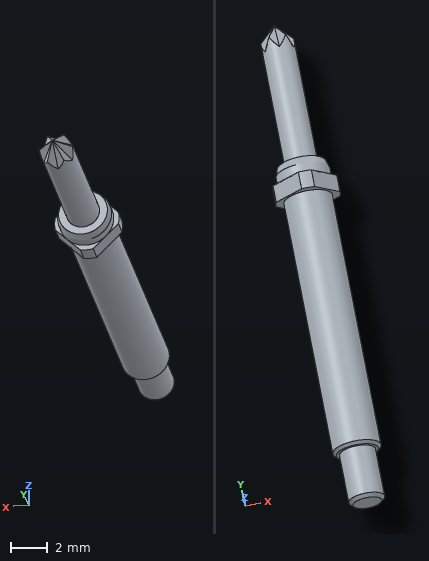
import cadquery as cq
import math

total_length = 28.3
tail_length = 3.0
body_length = 15.0
flange_thickness = 1.0
collar_length = 1.02
collar_taper_length = 0.45

tail_diameter = 2.0
body_diameter = 2.7
collar_diameter = 3.0
collar_end_diameter = 2.72
rod_diameter = 1.85

flange_diameter = 3.6
flange_across_flats = 3.0

tail_chamfer = 0.2
body_chamfer = 0.17

point_count = 6
ridge_half_angle = math.radians(45)
valley_half_angle = math.radians(30)

body_end = tail_length + body_length
flange_end = body_end + flange_thickness
collar_end = flange_end + collar_length
collar_taper_start = collar_end - collar_taper_length


def make_turned_pin():
    """Tail, body, collar and rod revolved about the Y axis, with a blunt rod end."""
    tail_radius = tail_diameter / 2
    body_radius = body_diameter / 2
    collar_radius = collar_diameter / 2
    collar_end_radius = collar_end_diameter / 2
    rod_radius = rod_diameter / 2
    profile = [
        (0, 0),
        (tail_radius - tail_chamfer, 0),
        (tail_radius, tail_chamfer),
        (tail_radius, tail_length),
        (body_radius - body_chamfer, tail_length),
        (body_radius, tail_length + body_chamfer),
        (body_radius, body_end),
        (collar_radius, body_end),
        (collar_radius, collar_taper_start),
        (collar_end_radius, collar_end),
        (rod_radius, collar_end),
        (rod_radius, total_length),
        (0, total_length),
    ]
    return cq.Workplane("XY").polyline(profile).close().revolve(360, (0, 0), (0, 1))


def make_flange():
    """Square plate turned by 45 degrees with rounded corners."""
    plane = cq.Plane(origin=(0, body_end, 0), xDir=(1, 0, 0), normal=(0, 1, 0))
    disc = cq.Workplane(plane).circle(flange_diameter / 2).extrude(flange_thickness)
    square = (
        cq.Workplane(plane)
        .transformed(rotate=(0, 0, 45))
        .rect(flange_across_flats, flange_across_flats)
        .extrude(flange_thickness)
    )
    return disc.intersect(square)


def make_star_point():
    """Pyramid on a star base: flat facets run from the apex between ridges and valleys."""
    height = total_length - collar_end
    apex = cq.Vector(0, total_length, 0)
    corner_count = 2 * point_count
    base = []
    for index in range(corner_count):
        half_angle = ridge_half_angle if index % 2 == 0 else valley_half_angle
        radius = height * math.tan(half_angle)
        angle = 2 * math.pi * index / corner_count
        base.append(cq.Vector(radius * math.cos(angle), collar_end, radius * math.sin(angle)))
    faces = [cq.Face.makeFromWires(cq.Wire.makePolygon(base, close=True))]
    for index in range(corner_count):
        facet = [apex, base[index - 1], base[index]]
        faces.append(cq.Face.makeFromWires(cq.Wire.makePolygon(facet, close=True)))
    return cq.Workplane(cq.Solid.makeSolid(cq.Shell.makeShell(faces)))


def make_tip_keep_zone():
    """Star point over the rod, plus a wide cylinder that keeps everything below the rod."""
    below_rod = cq.Workplane("XZ").circle(flange_diameter).extrude(-collar_end)
    return make_star_point().union(below_rod)


result = make_turned_pin().intersect(make_tip_keep_zone()).union(make_flange())